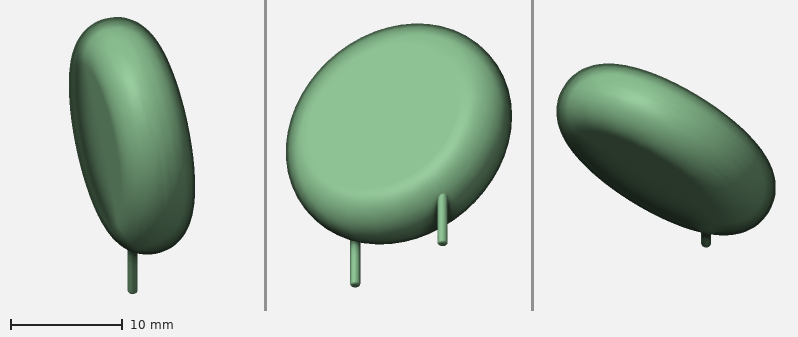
import cadquery as cq

body_diameter = 21.5
body_thickness = 6.7
rim_band_width = 0.2
rim_fillet = (body_thickness - rim_band_width) / 2

overall_height = 24.53
lead_diameter = 0.9
lead_pitch_x = 10.0
lead_pitch_y = 3.12
lead_tip_fillet = 0.22
lead_bottom_z = body_diameter / 2 - overall_height
lead_top_z = -body_diameter / 4


def make_body():
    disc = cq.Workplane("XZ").circle(body_diameter / 2).extrude(body_thickness / 2, both=True)
    return disc.edges().fillet(rim_fillet)


def make_lead(x, y):
    lead = (
        cq.Workplane("XY", origin=(x, y, lead_bottom_z))
        .circle(lead_diameter / 2)
        .extrude(lead_top_z - lead_bottom_z)
    )
    return lead.faces("<Z").edges().fillet(lead_tip_fillet)


result = make_body()
for side in (-1, 1):
    result = result.union(make_lead(side * lead_pitch_x / 2, -side * lead_pitch_y / 2))